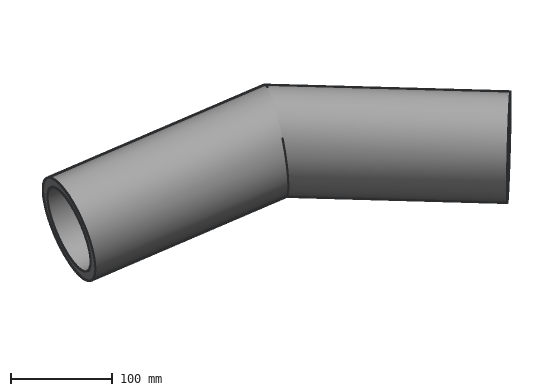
import cadquery as cq
import math

overall_length = 456.5
outer_diameter = 110.0
bore_diameter = 90.0
bend_angle = math.radians(30)

end_face_overhang = outer_diameter / 2 * math.sin(bend_angle)
leg_length = (overall_length - end_face_overhang) / (1 + math.cos(bend_angle))

corner = (0, leg_length)
far_end = (
    leg_length * math.sin(bend_angle),
    leg_length * (1 + math.cos(bend_angle)),
)
centreline = cq.Workplane("XY").polyline([(0, 0), corner, far_end])

ring = cq.Workplane("XZ").circle(outer_diameter / 2).circle(bore_diameter / 2)
result = ring.sweep(centreline, transition="right")